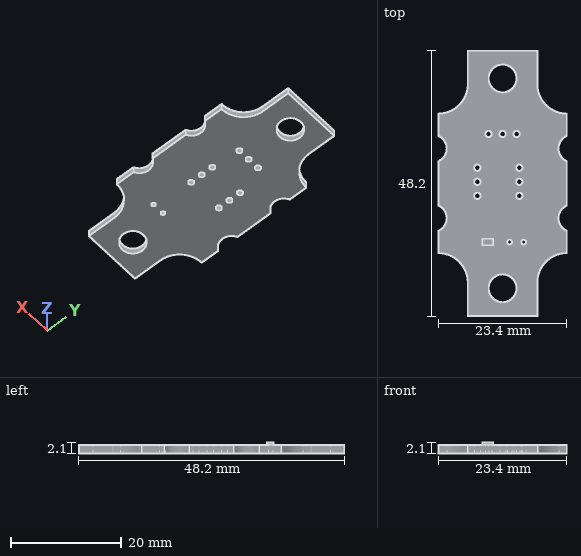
import cadquery as cq

overall_height = 2.1

board_length = 48.25
board_width = 23.35
board_thickness = 1.6
neck_width = 12.7
shoulder_radius = 5.3
shoulder_y = 12.7

notch_diameter = 5.0
notch_x = 12.7
notch_y = 6.3

mount_diameter = 5.0
mount_y = 19.05
pin_diameter = 1.1
pin_pitch = 2.55
top_row_y = 9.0
column_xs = (-4.6, 3.05)
column_middle_y = 0.3
lead_diameter = 0.8
lead_middle_x = 2.55

chip_length = 2.05
chip_width = 1.2
chip_height = overall_height - board_thickness
cap_length = 0.3
layer_thickness = 0.1
chip_x = -2.7
chip_y = -10.65


def drill(body, points, diameter):
    """Cut round holes through the board at the given centres."""
    cutters = cq.Workplane("XY").pushPoints(points).circle(diameter / 2).extrude(board_thickness)
    return body.cut(cutters)


def make_board():
    half_width = board_width / 2
    half_neck = neck_width / 2
    corner_width = half_width - half_neck
    corner_length = board_length / 2 - shoulder_y
    body = cq.Workplane("XY").box(board_width, board_length, board_thickness, centered=(True, True, False))
    corners = [
        (x * (half_neck + corner_width / 2), y * (shoulder_y + corner_length / 2))
        for x in (-1, 1)
        for y in (-1, 1)
    ]
    corner_cutters = (
        cq.Workplane("XY")
        .pushPoints(corners)
        .rect(corner_width, corner_length)
        .extrude(board_thickness)
    )
    body = body.cut(corner_cutters)
    inner_corners = cq.selectors.BoxSelector(
        (-half_width + corner_width / 2, -shoulder_y - corner_length / 2, 0),
        (half_width - corner_width / 2, shoulder_y + corner_length / 2, board_thickness),
    )
    body = body.edges("|Z").edges(inner_corners).fillet(shoulder_radius)

    notches = [(x * notch_x, y * notch_y) for x in (-1, 1) for y in (-1, 1)]
    body = drill(body, notches, notch_diameter)
    body = drill(body, [(0, -mount_y), (0, mount_y)], mount_diameter)

    steps = (-pin_pitch, 0, pin_pitch)
    top_row = [(step, top_row_y) for step in steps]
    columns = [(x, column_middle_y + step) for x in column_xs for step in steps]
    body = drill(body, top_row + columns, pin_diameter)
    leads = [(lead_middle_x + side * pin_pitch / 2, chip_y) for side in (-1, 1)]
    return drill(body, leads, lead_diameter)


def chip_layer(x, length, z, height):
    """One full-width block of the chip, centred at x, with its underside at z."""
    block = cq.Workplane("XY").box(length, chip_width, height, centered=(True, True, False))
    return block.translate((x, 0, z))


def make_chip():
    """Flush chip whose end caps and coating lie above and below a core, with the seams kept."""
    coating_length = chip_length - 2 * cap_length
    cap_x = (chip_length - cap_length) / 2
    chip = chip_layer(0, chip_length, layer_thickness, chip_height - 2 * layer_thickness)
    for z in (0, chip_height - layer_thickness):
        for x, length in ((-cap_x, cap_length), (0, coating_length), (cap_x, cap_length)):
            chip = chip.union(chip_layer(x, length, z, layer_thickness), clean=False)
    return chip.translate((chip_x, chip_y, board_thickness))


board = make_board()
chip = make_chip()
result = cq.Compound.makeCompound([board.val(), chip.val()])